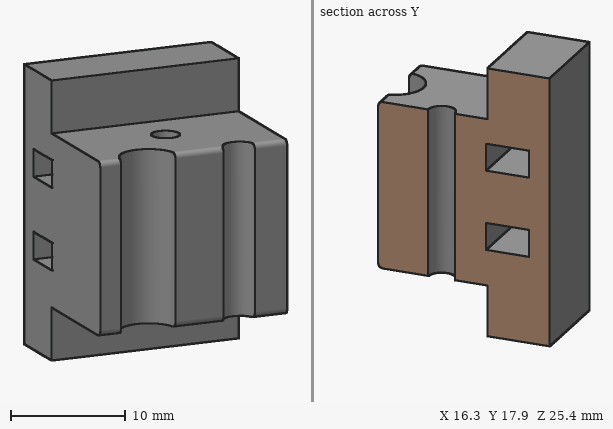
import cadquery as cq

total_length = 16.3
width = 17.9
plate_height = 25.4
plate_thickness = 5.9

block_height = 15.8
block_edge_radius = 0.5

slot_length = 4.0
slot_height = 2.5
slot_start = 2.0
slot_spacing = 7.5
slot_middle_z = 0.5

pin_hole_diameter = 2.5
pin_hole_x = 10.25
small_groove_radius = 1.5
small_groove_y = 4.35
large_groove_radius = 2.6
large_groove_y = -small_groove_y
groove_center_offset = 0.1
groove_center_x = total_length + groove_center_offset


def plate():
    """Flat plate with its back on X = 0."""
    return cq.Workplane("XY").box(plate_thickness, width, plate_height, centered=(False, True, True))


def block():
    """Block from the plate back forward, its two front edges along Y rounded."""
    body = cq.Workplane("XY").box(total_length, width, block_height, centered=(False, True, True))
    return body.edges("|Y and >X").fillet(block_edge_radius)


def strap_slot(middle_z):
    """Slot cutter across the whole width."""
    cutter = cq.Workplane("XY").box(slot_length, width, slot_height, centered=(False, True, True))
    return cutter.translate((slot_start, 0, middle_z))


def vertical_cut(x, y, radius):
    """Round cutter through the whole height of the block."""
    cutter = cq.Workplane("XY").circle(radius).extrude(block_height / 2, both=True)
    return cutter.translate((x, y, 0))


result = plate().union(block())

for side in (-1, 1):
    result = result.cut(strap_slot(slot_middle_z + side * slot_spacing / 2))

result = result.cut(vertical_cut(pin_hole_x, 0, pin_hole_diameter / 2))
result = result.cut(vertical_cut(groove_center_x, small_groove_y, small_groove_radius))
result = result.cut(vertical_cut(groove_center_x, large_groove_y, large_groove_radius))